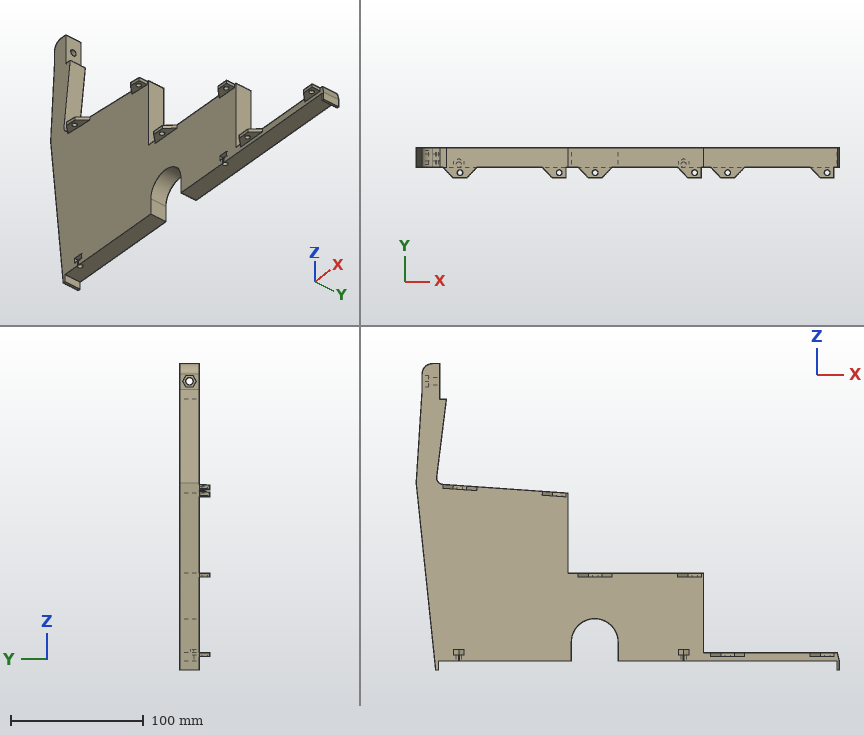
import cadquery as cq
import math

plate_thickness = 15.0
total_length = 319.2
total_height = 231.0

base_z = 6.7
front_foot_left = 14.7
front_foot_right = 17.0
rear_foot_width = 2.0
rear_edge_x = 317.5

step_rise = 60.0
low_tread_z = 13.0
mid_tread_z = low_tread_z + step_rise
riser_1_x = 114.5
riser_2_x = 216.7
top_tread_end_z = 133.5
top_tread_angle = 4.0
top_tread_slope = math.tan(math.radians(top_tread_angle))

knee_z = 141.0
arm_left_x = 4.5
arm_flat_start_z = 211.3
arm_round = 8.0
arm_right_x = 18.0
arm_ledge_x = 23.0
arm_ledge_z = 204.3
arm_root_x = 15.0
arm_root_fillet = 4.8

arch_center_x = 134.7
arch_radius = 17.5
arch_spring_z = 21.0

tab_reach = 8.0
tab_root_flare = 7.7
tab_thickness = 3.0
tab_tip_half_width = 5.0
tab_hole_diameter = 4.0
tab_hole_offset = tab_reach / 2
tab_hole_spacing = 75.0
tab_root_overlap = 1.5

arm_hole_diameter = 5.5
arm_hole_z = 217.7
arm_nut_flats = 9.0
arm_nut_depth = 4.8

slot_centers_x = (32.2, 201.7)
slot_center_z = 13.5
slot_height = 4.0
slot_nut_flats = 8.0
slot_axis_y = 2.05
base_hole_diameter = 4.0


def top_tread_z(x):
    """Height of the sloping top tread at x."""
    return top_tread_end_z + (riser_1_x - x) * top_tread_slope


def make_plate():
    round_center_x = arm_left_x + arm_round
    round_center_z = total_height - arm_round
    round_mid = (
        round_center_x - arm_round * math.sqrt(0.5),
        round_center_z + arm_round * math.sqrt(0.5),
    )
    rear_foot_left = total_length - rear_foot_width
    outline = (
        cq.Workplane("XZ")
        .moveTo(front_foot_left, 0)
        .lineTo(0, knee_z)
        .lineTo(arm_left_x, arm_flat_start_z)
        .lineTo(arm_left_x, round_center_z)
        .threePointArc(round_mid, (round_center_x, total_height))
        .lineTo(arm_right_x, total_height)
        .lineTo(arm_right_x, arm_ledge_z)
        .lineTo(arm_ledge_x, arm_ledge_z)
        .lineTo(arm_root_x, top_tread_z(arm_root_x))
        .lineTo(riser_1_x, top_tread_end_z)
        .lineTo(riser_1_x, mid_tread_z)
        .lineTo(riser_2_x, mid_tread_z)
        .lineTo(riser_2_x, low_tread_z)
        .lineTo(rear_edge_x, low_tread_z)
        .lineTo(total_length, base_z)
        .lineTo(total_length, 0)
        .lineTo(rear_foot_left, 0)
        .lineTo(rear_foot_left, base_z)
        .lineTo(arch_center_x + arch_radius, base_z)
        .lineTo(arch_center_x + arch_radius, arch_spring_z)
        .threePointArc(
            (arch_center_x, arch_spring_z + arch_radius),
            (arch_center_x - arch_radius, arch_spring_z),
        )
        .lineTo(arch_center_x - arch_radius, base_z)
        .lineTo(front_foot_right, base_z)
        .lineTo(front_foot_right, 0)
        .close()
    )
    root_edge = cq.selectors.NearestToPointSelector(
        (arm_root_x, plate_thickness / 2, top_tread_z(arm_root_x))
    )
    return outline.extrude(-plate_thickness).edges(root_edge).fillet(arm_root_fillet)


def make_tab(hole_x, square_end):
    """Tab with its top at z = 0; one side is square where the tread ends."""
    root_half_width = tab_tip_half_width + tab_root_flare
    right_root = tab_tip_half_width if square_end else root_half_width
    return (
        cq.Workplane("XY")
        .polyline([
            (hole_x - root_half_width, tab_root_overlap),
            (hole_x - root_half_width, 0),
            (hole_x - tab_tip_half_width, -tab_reach),
            (hole_x + tab_tip_half_width, -tab_reach),
            (hole_x + right_root, 0),
            (hole_x + right_root, tab_root_overlap),
        ])
        .close()
        .moveTo(hole_x, -tab_hole_offset)
        .circle(tab_hole_diameter / 2)
        .extrude(-tab_thickness)
    )


def make_tab_pair():
    """Two tabs of one tread, with the first hole at x = 0."""
    return make_tab(0, False).union(make_tab(tab_hole_spacing, True))


def hexagon_diameter(flats):
    return flats / math.cos(math.pi / 6)


def make_arm_cutter():
    axis_plane = cq.Workplane("YZ").center(plate_thickness / 2, arm_hole_z)
    bore = axis_plane.circle(arm_hole_diameter / 2).extrude(arm_ledge_x)
    nut = axis_plane.polygon(6, hexagon_diameter(arm_nut_flats)).extrude(arm_left_x + arm_nut_depth)
    return bore.union(nut)


def make_slot_cutter(x):
    """Hexagonal nut pocket, open to the front, and its vertical screw hole."""
    slot_bottom = slot_center_z - slot_height / 2
    nut = (
        cq.Workplane("XY", origin=(x, slot_axis_y, slot_bottom))
        .transformed(rotate=(0, 0, 90))
        .polygon(6, hexagon_diameter(slot_nut_flats))
        .extrude(slot_height)
    )
    mouth = (
        cq.Workplane("XY", origin=(x, 0, slot_bottom))
        .rect(slot_nut_flats, 2 * slot_axis_y)
        .extrude(slot_height)
    )
    hole = (
        cq.Workplane("XY", origin=(x, slot_axis_y, 0))
        .circle(base_hole_diameter / 2)
        .extrude(slot_center_z)
    )
    return nut.union(mouth).union(hole)


top_tab_x = 33.2
tab_rows = (
    (top_tab_x, top_tread_z(top_tab_x), top_tread_angle),
    (135.0, mid_tread_z, 0),
    (235.0, low_tread_z, 0),
)

result = make_plate()
for row_x, row_z, tilt in tab_rows:
    tabs = make_tab_pair().rotate((0, 0, 0), (0, 1, 0), tilt)
    result = result.union(tabs.translate((row_x, 0, row_z)))

result = result.cut(make_arm_cutter())
for slot_x in slot_centers_x:
    result = result.cut(make_slot_cutter(slot_x))